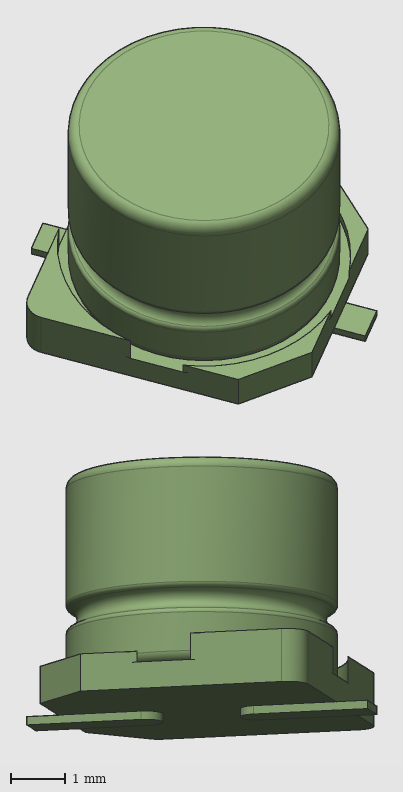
import cadquery as cq
import math

length = 6.5
height = 4.5

lead_width = 0.65
lead_thickness = 0.155
lead_gap = 1.495

base_side = 5.3
base_top = 1.145
low_top = 0.85
corner_radius = 0.395
corner_chamfer = 1.065
recess_radius = 2.7
recess_floor = 0.65

can_radius = 5.0 / 2
can_edge_radius = 0.2
groove_radius = 0.2
groove_lip_radius = 0.1
groove_height = 1.86


def make_base():
    """Square plate with two rounded and two chamfered corners, stepped down on its +X half."""
    base = (
        cq.Workplane("XY")
        .workplane(offset=lead_thickness)
        .rect(base_side, base_side)
        .extrude(base_top - lead_thickness)
    )
    base = base.edges("|Z and <X").fillet(corner_radius)
    base = base.edges("|Z and >X").chamfer(corner_chamfer)

    step = (
        cq.Workplane("XY")
        .workplane(offset=low_top)
        .center(base_side / 4, 0)
        .rect(base_side / 2, base_side)
        .extrude(base_top - low_top)
    )
    recess = (
        cq.Workplane("XY")
        .workplane(offset=recess_floor)
        .circle(recess_radius)
        .extrude(base_top - recess_floor)
    )
    return base.cut(step).cut(recess)


def make_can():
    """Revolved can with rounded ends and a rolled groove with rounded lips."""
    center_distance = groove_radius + groove_lip_radius
    lip_rise = math.sqrt(center_distance**2 - groove_lip_radius**2)
    tangent_radius = can_radius - groove_lip_radius * groove_radius / center_distance
    tangent_rise = lip_rise * groove_radius / center_distance
    end_radius = can_radius - can_edge_radius

    profile = (
        cq.Workplane("XZ")
        .moveTo(0, recess_floor)
        .lineTo(end_radius, recess_floor)
        .radiusArc((can_radius, recess_floor + can_edge_radius), -can_edge_radius)
        .lineTo(can_radius, groove_height - lip_rise)
        .radiusArc((tangent_radius, groove_height - tangent_rise), -groove_lip_radius)
        .threePointArc(
            (can_radius - groove_radius, groove_height),
            (tangent_radius, groove_height + tangent_rise),
        )
        .radiusArc((can_radius, groove_height + lip_rise), -groove_lip_radius)
        .lineTo(can_radius, height - can_edge_radius)
        .radiusArc((end_radius, height), -can_edge_radius)
        .lineTo(0, height)
        .close()
    )
    return profile.revolve(360, (0, 0, 0), (0, 1, 0))


def make_lead(side):
    """Flat lead with a round inner end; side is -1 for -X and +1 for +X."""
    half_width = lead_width / 2
    outer_x = side * length / 2
    inner_x = side * lead_gap / 2
    round_start_x = inner_x + side * half_width
    return (
        cq.Workplane("XY")
        .moveTo(outer_x, -half_width)
        .lineTo(round_start_x, -half_width)
        .threePointArc((inner_x, 0), (round_start_x, half_width))
        .lineTo(outer_x, half_width)
        .close()
        .extrude(lead_thickness)
    )


result = make_base().union(make_can())
for lead_side in (-1, 1):
    result = result.union(make_lead(lead_side))